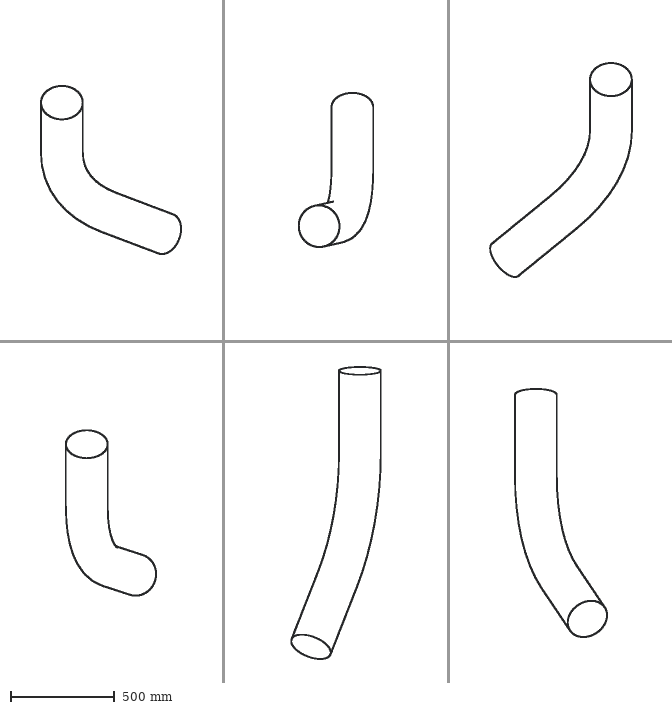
import cadquery as cq
import math

height = 1340.0
outer_diameter = 204.0
inner_diameter = 200.0
bend_angle = 45.0
bend_radius = 814.0
lower_leg = 405.0

angle = math.radians(bend_angle)
outer_radius = outer_diameter / 2
cos_bend = math.cos(angle)
sin_bend = math.sin(angle)

bend_drop = bend_radius * sin_bend
lower_leg_drop = lower_leg * cos_bend
rim_drop = outer_radius * sin_bend
upper_leg = height - bend_drop - lower_leg_drop - rim_drop


def bend_point(turn):
    """Centreline point (Y, Z) after turning by an angle from the top of the bend."""
    y = bend_radius * (1 - math.cos(turn))
    z = -upper_leg - bend_radius * math.sin(turn)
    return (y, z)


bend_end_y, bend_end_z = bend_point(angle)
lower_end = (bend_end_y + lower_leg * sin_bend, bend_end_z - lower_leg_drop)
centreline = (
    cq.Workplane("YZ")
    .moveTo(0, 0)
    .lineTo(*bend_point(0))
    .threePointArc(bend_point(angle / 2), (bend_end_y, bend_end_z))
    .lineTo(*lower_end)
)

result = (
    cq.Workplane("XY")
    .circle(outer_radius)
    .circle(inner_diameter / 2)
    .sweep(centreline)
)